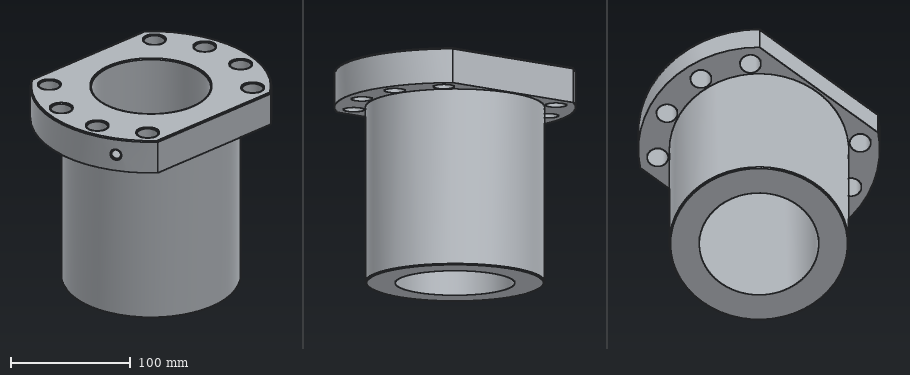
import cadquery as cq
import math

flange_diameter = 202.0
flange_width = 155.0
overall_height = 180.0
body_diameter = 150.0
body_height = 150.0
bore_diameter = 100.0
edge_chamfer = 1.0

bolt_circle_radius = 85.0
bolt_hole_diameter = 17.5
bolt_angles = [45, 75, 105, 135, 225, 255, 285, 315]

port_diameter = 8.0
port_angle = (bolt_angles[-2] + bolt_angles[-1]) / 2

flange_thickness = overall_height - body_height


def make_body():
    """Round sleeve below the flange, with its bottom edge chamfered."""
    sleeve = cq.Workplane("XY").circle(body_diameter / 2).extrude(body_height)
    return sleeve.faces("<Z").chamfer(edge_chamfer)


def make_flange():
    """Round flange with two parallel flats, with its top edge chamfered."""
    base = cq.Workplane("XY", origin=(0, 0, body_height))
    disc = base.circle(flange_diameter / 2).extrude(flange_thickness)
    flats = base.rect(flange_width, flange_diameter).extrude(flange_thickness)
    return disc.intersect(flats).faces(">Z").chamfer(edge_chamfer)


def countersunk_cutter(diameter, chamfer, start, end):
    """Cutter along +Z from start to end, flaring at the end by the chamfer."""
    radius = diameter / 2
    profile = [
        (0, start),
        (radius, start),
        (radius, end - chamfer),
        (radius + chamfer, end),
        (0, end),
    ]
    return cq.Workplane("XZ").polyline(profile).close().revolve(360, (0, 0, 0), (0, 1, 0))


def make_port():
    """Cutter from the part's axis out to the rim, at mid-thickness of the flange."""
    cutter = countersunk_cutter(port_diameter, edge_chamfer, 0, flange_diameter / 2)
    along_x = cutter.rotate((0, 0, 0), (0, 1, 0), 90)
    turned = along_x.rotate((0, 0, 0), (0, 0, 1), port_angle)
    return turned.translate((0, 0, body_height + flange_thickness / 2))


result = make_body().union(make_flange())
result = result.cut(countersunk_cutter(bore_diameter, edge_chamfer, 0, overall_height))

bolt_hole = countersunk_cutter(bolt_hole_diameter, edge_chamfer, body_height, overall_height)
for bolt_angle in bolt_angles:
    x = bolt_circle_radius * math.cos(math.radians(bolt_angle))
    y = bolt_circle_radius * math.sin(math.radians(bolt_angle))
    result = result.cut(bolt_hole.translate((x, y, 0)))

result = result.cut(make_port())